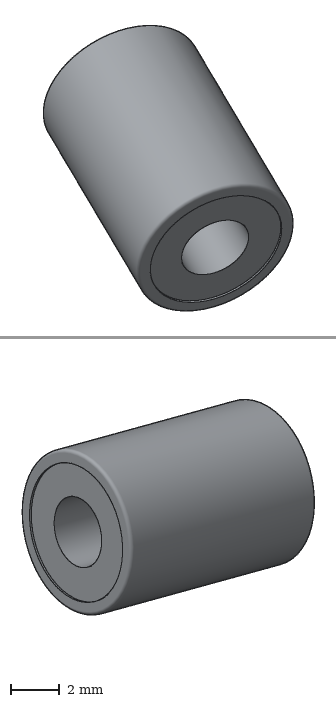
import cadquery as cq

length = 10.0
outer_diameter = 7.0
bore_diameter = 3.0
edge_radius = 0.15

recess_diameter = 5.88
recess_depth = 0.1


def cylinder_along_x(diameter, start, height):
    """Solid cylinder on the X axis, from start towards +X."""
    return cq.Workplane("YZ", origin=(start, 0, 0)).circle(diameter / 2).extrude(height)


body = cylinder_along_x(outer_diameter, -length / 2, length)
body = body.faces("<X or >X").edges().fillet(edge_radius)

body = body.cut(cylinder_along_x(bore_diameter, -length / 2, length))

for recess_start in (-length / 2, length / 2 - recess_depth):
    body = body.cut(cylinder_along_x(recess_diameter, recess_start, recess_depth))

result = body